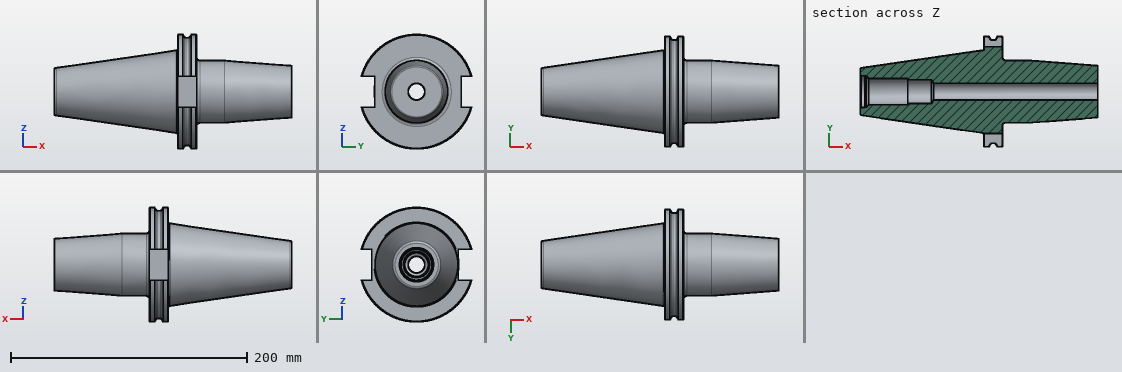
import cadquery as cq
import math


length = 201.6
taper_slope = 7 / 24 / 2
collar_radius = 35.0
taper_end = 103.0
taper_start_radius = collar_radius - taper_end * taper_slope
taper_edge_length = 2.0
taper_edge_radius = taper_start_radius + taper_edge_length * taper_slope
taper_face_radius = taper_edge_radius - taper_edge_length

flange_start = 104.8
flange_end = 120.8
flange_radius = 48.5
flange_chamfer = 0.6
collar_fillet = 0.8

groove_center = (flange_start + flange_end) / 2
groove_bottom_radius = 45.8
groove_half_width = 3.6
groove_wall_angle = 30
groove_wall_run = (flange_radius - groove_bottom_radius) * math.tan(math.radians(groove_wall_angle))
groove_bottom_half_width = groove_half_width - groove_wall_run
groove_corner_fillet = 1.2

nose_radius = 53.0 / 2
nose_fillet = 2.8
nose_taper_start = 144.2
nose_end_radius = 22.2
nose_edge = 1.0

slot_width = 26.0
slot_floor_front = 35.5
slot_floor_back = 38.1

mouth_radius = 14.5
pilot_radius = 26.6 / 2
mouth_depth = 1.0
pilot_end = 3.8
guide_radius = 26.2 / 2
guide_end = 5.2
thread_radius = 22.2 / 2
thread_start = 7.5
thread_end = 40.3
bore_radius = 20.0 / 2
bore_end = 60.5
tool_radius = 14.0 / 2
drill_half_angle = 59
tool_start = bore_end + (bore_radius - tool_radius) / math.tan(math.radians(drill_half_angle))


def arc_middle(center_x, center_r, radius, angle):
    """Point at the given angle on a rounding arc in the turning profile."""
    turn = math.radians(angle)
    return (center_x + radius * math.cos(turn), center_r + radius * math.sin(turn))


def revolve_about_x(profile):
    return profile.close().revolve(360, (0, 0, 0), (1, 0, 0))


def turned_body():
    collar_arc = arc_middle(flange_start - collar_fillet, collar_radius + collar_fillet, collar_fillet, -45)
    nose_arc = arc_middle(flange_end + nose_fillet, nose_radius + nose_fillet, nose_fillet, 225)
    end_arc = arc_middle(length - nose_edge, nose_end_radius - nose_edge, nose_edge, 45)
    edge_arc = arc_middle(taper_edge_length, taper_face_radius, taper_edge_length, 135)
    profile = (
        cq.Workplane("XY")
        .moveTo(0, 0)
        .lineTo(0, taper_face_radius)
        .threePointArc(edge_arc, (taper_edge_length, taper_edge_radius))
        .lineTo(taper_end, collar_radius)
        .lineTo(flange_start - collar_fillet, collar_radius)
        .threePointArc(collar_arc, (flange_start, collar_radius + collar_fillet))
        .lineTo(flange_start, flange_radius)
        .lineTo(flange_end, flange_radius)
        .lineTo(flange_end, nose_radius + nose_fillet)
        .threePointArc(nose_arc, (flange_end + nose_fillet, nose_radius))
        .lineTo(nose_taper_start, nose_radius)
        .lineTo(length - nose_edge, nose_end_radius)
        .threePointArc(end_arc, (length, nose_end_radius - nose_edge))
        .lineTo(length, 0)
    )
    body = revolve_about_x(profile)
    rim = cq.selectors.RadiusNthSelector(-1)
    return body.edges("%CIRCLE").edges(rim).chamfer(flange_chamfer)


def gripper_groove():
    profile = cq.Workplane("XY").polyline([
        (groove_center - groove_half_width, flange_radius),
        (groove_center - groove_bottom_half_width, groove_bottom_radius),
        (groove_center + groove_bottom_half_width, groove_bottom_radius),
        (groove_center + groove_half_width, flange_radius),
    ])
    floor_edges = cq.selectors.RadiusNthSelector(0)
    return revolve_about_x(profile).edges("%CIRCLE").edges(floor_edges).fillet(groove_corner_fillet)


def through_bore():
    profile = cq.Workplane("XY").polyline([
        (0, 0),
        (0, mouth_radius),
        (mouth_depth, pilot_radius),
        (pilot_end, pilot_radius),
        (pilot_end, guide_radius),
        (guide_end, guide_radius),
        (thread_start, thread_radius),
        (thread_end, thread_radius),
        (thread_end, bore_radius),
        (bore_end, bore_radius),
        (tool_start, tool_radius),
        (length, tool_radius),
        (length, 0),
    ])
    return revolve_about_x(profile)


def drive_slot(side, floor):
    depth = flange_radius - floor
    slot = cq.Workplane("XY").box(flange_end - flange_start, depth, slot_width)
    return slot.translate((groove_center, side * (floor + depth / 2), 0))


result = turned_body().cut(gripper_groove()).cut(through_bore())
for side, floor in ((-1, slot_floor_front), (1, slot_floor_back)):
    result = result.cut(drive_slot(side, floor))